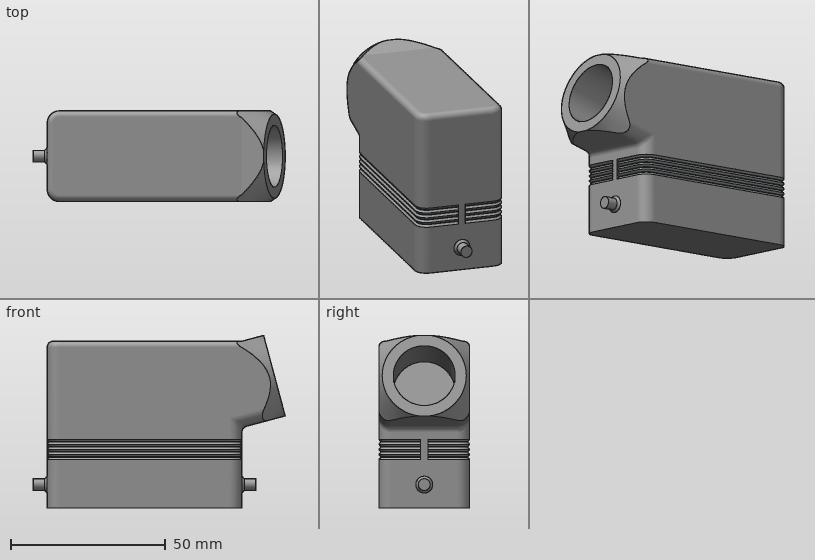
import cadquery as cq
import math

body_length = 63.0
body_width = 29.41
body_height = 54.0
corner_radius = 4.0
top_radius = 2.0

arm_tilt = 15.0
arm_top_length = 7.27
arm_face_height = 27.0
throat_radius = 2.0

face_diameter = 27.2
cone_half_angle = 33.0
cone_outer_radius = 21.0
bore_diameter = 20.0
bore_depth = 20.0

groove_count = 4
groove_pitch = 1.63
groove_depth = 0.6
groove_floor = 0.2
band_bottom = 15.73
band_gap = 2.3

pin_diameter = 3.85
pin_reach = 4.5
pin_height = 7.6
pin_collar_length = 0.8

half_length = body_length / 2
half_width = body_width / 2
tilt = math.radians(arm_tilt)

arm_root_top = (half_length, body_height)
face_top = (
    half_length + arm_top_length * math.cos(tilt),
    body_height + arm_top_length * math.sin(tilt),
)
face_bottom = (
    face_top[0] + arm_face_height * math.sin(tilt),
    face_top[1] - arm_face_height * math.cos(tilt),
)
face_center = (
    (face_top[0] + face_bottom[0]) / 2,
    (face_top[1] + face_bottom[1]) / 2,
)
arm_root_bottom = (
    half_length,
    face_bottom[1] - (face_bottom[0] - half_length) * math.tan(tilt),
)


def select_edge(x, y, z):
    """Selector for the edge whose centre is nearest to a point."""
    return cq.selectors.NearestToPointSelector((x, y, z))


def fillet_edges(solid, radius, points):
    """Round the edges whose centres are nearest to the given points."""
    edges = [solid.edges(select_edge(*point)).val() for point in points]
    return solid.newObject(edges).fillet(radius)


def middle(start, end):
    """Midpoint of two points in a plane."""
    return ((start[0] + end[0]) / 2, (start[1] + end[1]) / 2)


def make_shell():
    """Block and arm in one extrusion, with rounded edges."""
    shell = (
        cq.Workplane("XZ")
        .moveTo(-half_length, 0)
        .lineTo(half_length, 0)
        .lineTo(*arm_root_bottom)
        .lineTo(*face_bottom)
        .lineTo(*face_top)
        .lineTo(*arm_root_top)
        .lineTo(-half_length, body_height)
        .close()
        .extrude(half_width, both=True)
    )
    arm_bottom_x, arm_bottom_z = middle(arm_root_bottom, face_bottom)
    arm_top_x, arm_top_z = middle(arm_root_top, face_top)
    corner_points = []
    top_points = [(-half_length, 0, body_height)]
    for y in (-half_width, half_width):
        corner_points.append((-half_length, y, body_height / 2))
        corner_points.append((half_length, y, arm_root_bottom[1] / 2))
        corner_points.append((arm_bottom_x, y, arm_bottom_z))
        top_points.append((0, y, body_height))
        top_points.append((arm_top_x, y, arm_top_z))
    shell = fillet_edges(shell, corner_radius, corner_points)
    throat_point = (arm_root_bottom[0], 0, arm_root_bottom[1])
    shell = fillet_edges(shell, throat_radius, [throat_point])
    return fillet_edges(shell, top_radius, top_points)


def entry_workplane():
    """Workplane at the end face centre, its Y along the outward arm axis."""
    plane = cq.Plane(
        origin=(face_center[0], 0, face_center[1]),
        xDir=(math.sin(tilt), 0, -math.cos(tilt)),
        normal=(0, -1, 0),
    )
    return cq.Workplane(plane)


def make_corner_trim():
    """Ring outside a cone on the arm axis; cutting it rounds the arm's end."""
    face_radius = face_diameter / 2
    cone_run = (cone_outer_radius - face_radius) / math.tan(math.radians(cone_half_angle))
    return (
        entry_workplane()
        .moveTo(face_radius, 0)
        .lineTo(cone_outer_radius, 0)
        .lineTo(cone_outer_radius, -cone_run)
        .close()
        .revolve(360, (0, 0, 0), (0, 1, 0))
    )


def make_bore():
    """Blind cable bore, square to the arm's end face."""
    return (
        entry_workplane()
        .lineTo(bore_diameter / 2, 0)
        .lineTo(bore_diameter / 2, -bore_depth)
        .lineTo(0, -bore_depth)
        .close()
        .revolve(360, (0, 0, 0), (0, 1, 0))
    )


def rounded_outline(inset, height):
    """Body outline in plan at a height, inset on all four sides."""
    outline = (
        cq.Sketch()
        .rect(body_length - 2 * inset, body_width - 2 * inset)
        .vertices()
        .fillet(corner_radius - inset)
    )
    return cq.Workplane("XY", origin=(0, 0, height)).placeSketch(outline)


def make_groove(bottom):
    """Ring with a tapered section around the body, open at the end gaps."""
    flank = (groove_pitch - groove_floor) / 2
    flank_angle = math.degrees(math.atan(groove_depth / flank))
    top = bottom + groove_pitch
    lower_core = rounded_outline(0, bottom).extrude(flank, taper=flank_angle)
    floor_core = rounded_outline(groove_depth, bottom + flank).extrude(groove_floor)
    upper_core = rounded_outline(0, top).extrude(-flank, taper=flank_angle)
    base = cq.Workplane("XY", origin=(0, 0, bottom))
    gap_bridge = base.rect(2 * body_length, band_gap).extrude(groove_pitch)
    surround = base.rect(2 * body_length, 2 * body_width).extrude(groove_pitch)
    return surround.cut(lower_core).cut(floor_core).cut(upper_core).cut(gap_bridge)


def make_pin(side):
    """Locking pin with a conical collar; side is -1 or +1 along X."""
    radius = pin_diameter / 2
    collar_radius = radius + pin_collar_length
    return (
        cq.Workplane("XY", origin=(0, 0, pin_height))
        .lineTo(0, collar_radius)
        .lineTo(side * half_length, collar_radius)
        .lineTo(side * (half_length + pin_collar_length), radius)
        .lineTo(side * (half_length + pin_reach), radius)
        .lineTo(side * (half_length + pin_reach), 0)
        .close()
        .revolve(360, (0, 0, 0), (1, 0, 0))
    )


result = make_shell().cut(make_corner_trim()).cut(make_bore())
for index in range(groove_count):
    result = result.cut(make_groove(band_bottom + index * groove_pitch))
for side in (-1, 1):
    result = result.union(make_pin(side))